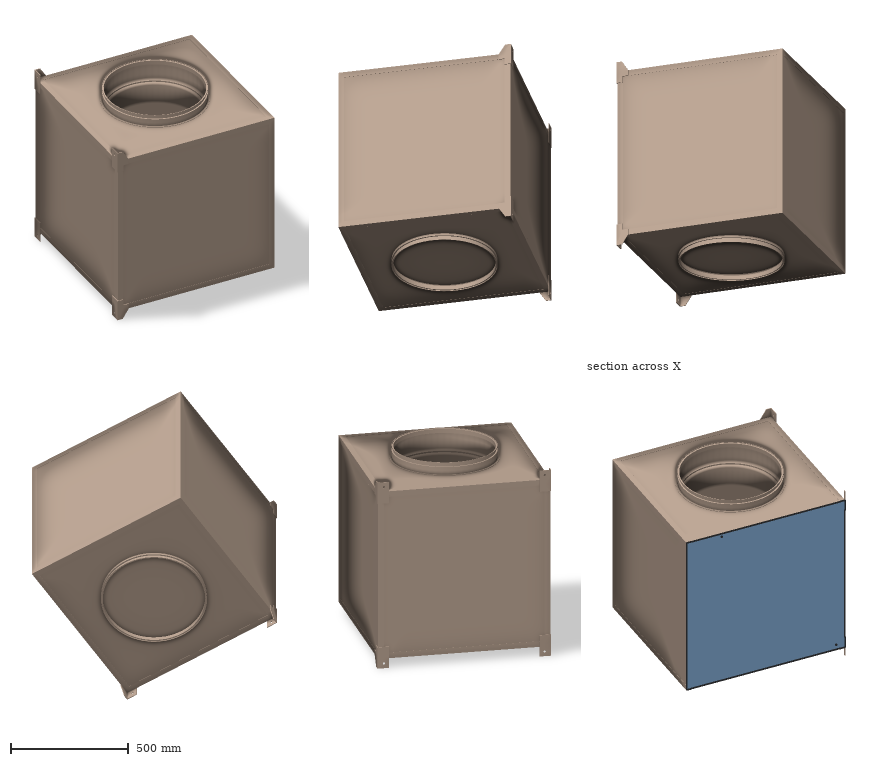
import cadquery as cq
import math

box_size = 750.0
frame_width = 25.0
panel_depth = 1.0

spigot_radius = 225.0
neck_radius = 219.0
sheet_thickness = 1.5
bead_height = 5.0
neck_length = 15.5
top_spigot_height = 55.0
bottom_spigot_height = 30.0
flange_radius = 234.0
flange_thickness = 1.0

lip_radius = 214.0
lip_depth = 46.0
lip_step = 6.0
inlet_radius = 204.0
inlet_floor_depth = 152.0
floor_radius = 193.0

bracket_thickness = 3.0
bracket_width = 50.0
bracket_top_width = 22.0
bracket_overhang = 42.5
bracket_overlap = 52.5
hole_diameter = 10.0
hole_offset = 28.0

half_box = box_size / 2
bore_radius = spigot_radius - sheet_thickness


def make_housing():
    """Cube whose six faces each carry a recessed square panel inside a flat frame."""
    panel_size = box_size - 2 * frame_width
    housing = cq.Workplane("XY").box(box_size, box_size, box_size)
    for face in (">X", "<X", ">Y", "<Y", ">Z", "<Z"):
        panel = housing.faces(face).workplane(centerOption="CenterOfBoundBox")
        housing = panel.rect(panel_size, panel_size).cutBlind(-panel_depth)
    return housing


def make_stepped_plug(height, base, body_radius, neck_radius, neck_top, neck_bottom):
    """Solid of revolution from z = base to z = height, waisted between neck_bottom and neck_top."""
    profile = (
        cq.Workplane("XZ")
        .moveTo(0, base)
        .lineTo(body_radius, base)
        .lineTo(body_radius, neck_bottom)
        .lineTo(neck_radius, neck_bottom)
        .lineTo(neck_radius, neck_top)
        .lineTo(body_radius, neck_top)
        .lineTo(body_radius, height)
        .lineTo(0, height)
        .close()
    )
    return profile.revolve(360, (0, 0, 0), (0, 1, 0))


def make_spigot(height):
    """Filled spigot rising from z = 0, rooted in the panel, necked between its end bead and its body."""
    neck_top = height - bead_height
    neck_bottom = neck_top - neck_length
    return make_stepped_plug(height, -panel_depth, spigot_radius, neck_radius, neck_top, neck_bottom)


def make_spigot_bore(height):
    """Bore of a spigot, from z = 0 to its rim, one sheet thickness inside the spigot's outline."""
    neck_top = height - bead_height + sheet_thickness
    neck_bottom = height - bead_height - neck_length - sheet_thickness
    neck_bore_radius = neck_radius - sheet_thickness
    return make_stepped_plug(height, 0, bore_radius, neck_bore_radius, neck_top, neck_bottom)


def make_inlet():
    """Rounded lip, throat and floor of the inlet, hanging below z = 0."""
    lip_round = bore_radius - lip_radius
    throat_round = lip_radius - inlet_radius
    floor_round = inlet_radius - floor_radius
    wall_end = -lip_depth + lip_round
    throat_start = -lip_depth - lip_step
    diagonal = math.sqrt(0.5)

    profile = cq.Workplane("XZ").moveTo(0, 0).lineTo(bore_radius, 0).lineTo(bore_radius, wall_end)
    profile = profile.threePointArc(
        (lip_radius + lip_round * diagonal, wall_end - lip_round * diagonal),
        (lip_radius, -lip_depth),
    )
    profile = profile.lineTo(lip_radius, throat_start)
    profile = profile.threePointArc(
        (lip_radius - throat_round * diagonal, throat_start - throat_round * (1 - diagonal)),
        (inlet_radius, throat_start - throat_round),
    )
    profile = profile.lineTo(inlet_radius, -inlet_floor_depth + floor_round)
    profile = profile.threePointArc(
        (floor_radius + floor_round * diagonal, -inlet_floor_depth + floor_round * (1 - diagonal)),
        (floor_radius, -inlet_floor_depth),
    )
    return profile.lineTo(0, -inlet_floor_depth).close().revolve(360, (0, 0, 0), (0, 1, 0))


def make_bracket():
    """Angle bracket for the upper -X, -Y corner of the housing, with that corner at the origin."""
    front = (
        cq.Workplane("XY")
        .box(bracket_width, bracket_thickness, bracket_overhang + bracket_overlap, centered=False)
        .translate((-bracket_thickness, -bracket_thickness, -bracket_overlap))
    )
    hole = (
        cq.Workplane("XZ")
        .center(hole_offset - bracket_thickness, bracket_overhang / 2)
        .circle(hole_diameter / 2)
        .extrude(bracket_thickness)
    )
    side_outline = [
        (-bracket_thickness, -bracket_overlap),
        (frame_width, -bracket_overlap),
        (frame_width, -frame_width),
        (bracket_width, -frame_width),
        (bracket_width, 0),
        (bracket_top_width, bracket_overhang),
        (-bracket_thickness, bracket_overhang),
    ]
    side = cq.Workplane("YZ").polyline(side_outline).close().extrude(-bracket_thickness)
    return front.cut(hole).union(side)


housing = make_housing()
flange = cq.Workplane("XY").circle(flange_radius).extrude(flange_thickness + panel_depth)
top_spigot = make_spigot(top_spigot_height)
top_bore = make_spigot_bore(top_spigot_height).union(make_inlet())
bottom_bore = make_spigot_bore(bottom_spigot_height)
bottom_spigot = make_spigot(bottom_spigot_height).cut(bottom_bore)

top_offset = (0, 0, half_box)
result = (
    housing.union(top_spigot.translate(top_offset))
    .union(flange.translate((0, 0, half_box - panel_depth)))
    .cut(top_bore.translate(top_offset))
    .union(bottom_spigot.mirror("XY").translate((0, 0, -half_box)))
)

bracket = make_bracket().translate((-half_box, -half_box, half_box))
left_brackets = bracket.union(bracket.mirror("XY"))
result = result.union(left_brackets).union(left_brackets.mirror("YZ"))